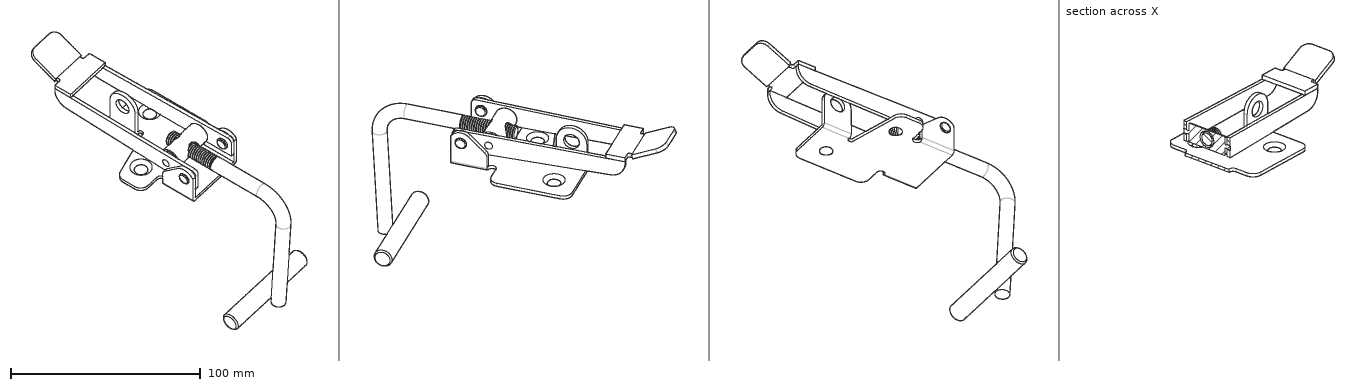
import cadquery as cq
import math

PIVOT_Z = 14.7
TRUNNION_X = -14.5

PLATE_T = 2.0
PLATE_WIDTH = 60.1
PLATE_HALF_Y = PLATE_WIDTH / 2
PLATE_LEFT = -64.5
PLATE_RIGHT = 5.7
LOBE_RIGHT = -19.3
LOBE_R = 5.0
SLANT_TOP_X = -44.7
SLANT_FOOT_X = -36.0
HOLE_R = 3.5
HOLE_RIM_R = 5.9
HOLES = [(-51.5, 17.0), (-30.3, -17.0)]
BEND_R = 1.8

EAR_T = 2.3
EAR_OUT = 18.6
EAR_IN = EAR_OUT - EAR_T
EAR_LEFT = -14.5
EAR_TOP_R = 6.5
EAR_SLOPE = 42.0
EAR_CORNER_R = 3.3
RELIEF_END_Y = 15.0

LOCK_EAR_R = 8.5
LOCK_EAR_OUT = -0.5
LOCK_EAR_Z = 17.7
LOCK_HOLE_R = 4.4
NOTCH_Y = 3.3
NOTCH_R = 1.0

LEVER_T = 2.5
WALL_T = 2.2
WALL_TOP = 20.8
WALL_LEFT = -90.2
WALL_LEFT_Z = 10.9
WALL_RIGHT_Z = 8.4
WALL_FRONT_R = 8.4
WALL_BACK_R = 2.5
LEVER_WIDTH = 29.3
LEVER_HALF_Y = LEVER_WIDTH / 2
BRIDGE_RIGHT = -79.5
NECK_HALF_Y = 9.7
NECK_R = 1.0
BEND_X = -93.3
TAB_HALF_Y = 10.9
TAB_ANGLE = 27.0
TAB_TIP_X = -111.5
TAB_R = 5.0

WALL_SPLAY = math.degrees(math.asin((EAR_IN - LEVER_HALF_Y) / (PLATE_RIGHT - WALL_LEFT)))

RIVET_R = 3.2
RIVET_IN = 12.5
RIVET_OUT = 19.5
RIVET_CHAMFER = 0.5

BARREL_R = 6.0
BARREL_LENGTH = 25.0
BARREL_HALF_Y = BARREL_LENGTH / 2
BARREL_CHAMFER = 0.5
TRUNNION_R = 2.2
BORE_R = 4.5

TRUNNION_END = LEVER_HALF_Y + (TRUNNION_X - WALL_LEFT) * math.sin(math.radians(WALL_SPLAY))

ROD_R = 4.0
ROD_LEFT = -24.3
THREAD_ROOT_R = 3.3
THREAD_PITCH = 1.25
THREAD_TURNS = 24
ROD_BEND_X = 37.0
ROD_BEND_R = 14.9
ROD_BEND_ANGLE = 93.0
LEG_LENGTH = 62.8

THREAD_END = ROD_LEFT + THREAD_PITCH * THREAD_TURNS
LEG_DIR = (math.cos(math.radians(ROD_BEND_ANGLE)), -math.sin(math.radians(ROD_BEND_ANGLE)))

GRIP_R = 5.0
GRIP_LENGTH = 60.1
GRIP_CHAMFER = 0.8
GRIP_FROM_END = 2.5


def along_bend(angle):
    """XZ point of the rod centreline at an angle (degrees) into the bend."""
    turn = math.radians(angle)
    return (ROD_BEND_X + ROD_BEND_R * math.sin(turn), PIVOT_Z - ROD_BEND_R * (1 - math.cos(turn)))


def rod_leg_end():
    """XZ point of the rod centreline at the free end of the leg."""
    x, z = along_bend(ROD_BEND_ANGLE)
    return (x + LEG_LENGTH * LEG_DIR[0], z + LEG_LENGTH * LEG_DIR[1])


def cylinder_y(radius, x, z, y_from, y_to):
    """Solid cylinder parallel to Y."""
    plane = cq.Plane(origin=(x, y_from, z), xDir=(1, 0, 0), normal=(0, 1, 0))
    return cq.Workplane(plane).circle(radius).extrude(y_to - y_from)


def extrude_y(outline, y_from, y_to):
    """Extrude a closed XZ outline between two Y positions."""
    return outline.extrude(y_from - y_to).translate((0, y_from, 0))


def upright_edge(x, y):
    """Selector for the vertical edge nearest to (x, y) in the flat base plate."""
    return cq.selectors.NearestToPointSelector((x, y, PLATE_T / 2))


def base_blank():
    """Flat plate with two offset lobes, before the ears and reliefs."""
    lock_right = PLATE_LEFT + 2 * LOCK_EAR_R
    blank = (
        cq.Workplane("XY")
        .moveTo(PLATE_LEFT, LOCK_EAR_OUT)
        .lineTo(lock_right, LOCK_EAR_OUT)
        .lineTo(lock_right, NOTCH_Y)
        .lineTo(SLANT_TOP_X, NOTCH_Y)
        .lineTo(SLANT_FOOT_X, -PLATE_HALF_Y)
        .lineTo(LOBE_RIGHT, -PLATE_HALF_Y)
        .lineTo(LOBE_RIGHT, -EAR_OUT)
        .lineTo(PLATE_RIGHT, -EAR_OUT)
        .lineTo(PLATE_RIGHT, EAR_OUT)
        .lineTo(LOBE_RIGHT, EAR_OUT)
        .lineTo(LOBE_RIGHT, PLATE_HALF_Y)
        .lineTo(PLATE_LEFT, PLATE_HALF_Y)
        .close()
        .extrude(PLATE_T)
    )
    lobe_corners = [
        (SLANT_FOOT_X, -PLATE_HALF_Y),
        (LOBE_RIGHT, -PLATE_HALF_Y),
        (LOBE_RIGHT, PLATE_HALF_Y),
        (PLATE_LEFT, PLATE_HALF_Y),
    ]
    for x, y in lobe_corners:
        blank = blank.edges("|Z").edges(upright_edge(x, y)).fillet(LOBE_R)
    for x in (lock_right, SLANT_TOP_X):
        blank = blank.edges("|Z").edges(upright_edge(x, NOTCH_Y)).fillet(NOTCH_R)
    return blank


def bend_relief(side):
    """Round-ended slot that frees a pivot ear from the lobe beside it."""
    width = EAR_LEFT - LOBE_RIGHT
    x_mid = (EAR_LEFT + LOBE_RIGHT) / 2
    y_round = RELIEF_END_Y + width / 2
    length = EAR_OUT - y_round
    y_mid = y_round + length / 2
    channel = cq.Workplane("XY").center(x_mid, side * y_mid).rect(width, length).extrude(PLATE_T)
    round_end = cq.Workplane("XY").center(x_mid, side * y_round).circle(width / 2).extrude(PLATE_T)
    return channel.union(round_end)


def pivot_ear(side):
    """Upright ear with a round top about the pivot and one sloping edge."""
    slope = math.radians(EAR_SLOPE)
    tangent = (-EAR_TOP_R * math.sin(slope), PIVOT_Z + EAR_TOP_R * math.cos(slope))
    corner_z = tangent[1] - (tangent[0] - EAR_LEFT) * math.tan(slope)
    back_z = PIVOT_Z + math.sqrt(EAR_TOP_R**2 - PLATE_RIGHT**2)
    outline = (
        cq.Workplane("XZ")
        .moveTo(EAR_LEFT, 0)
        .lineTo(EAR_LEFT, corner_z)
        .lineTo(*tangent)
        .threePointArc((0, PIVOT_Z + EAR_TOP_R), (PLATE_RIGHT, back_z))
        .lineTo(PLATE_RIGHT, 0)
        .close()
    )
    y_low = min(side * EAR_IN, side * EAR_OUT)
    ear = extrude_y(outline, y_low, y_low + EAR_T)
    corner = cq.selectors.NearestToPointSelector((EAR_LEFT, y_low + EAR_T / 2, corner_z))
    return ear.edges("|Y").edges(corner).fillet(EAR_CORNER_R)


def lock_ear():
    """Upright padlock ear with a round top and a hole concentric with it."""
    right = PLATE_LEFT + 2 * LOCK_EAR_R
    mid = PLATE_LEFT + LOCK_EAR_R
    outline = (
        cq.Workplane("XZ")
        .moveTo(PLATE_LEFT, 0)
        .lineTo(PLATE_LEFT, LOCK_EAR_Z)
        .threePointArc((mid, LOCK_EAR_Z + LOCK_EAR_R), (right, LOCK_EAR_Z))
        .lineTo(right, 0)
        .close()
    )
    ear = extrude_y(outline, LOCK_EAR_OUT, LOCK_EAR_OUT + EAR_T)
    return ear.cut(cylinder_y(LOCK_HOLE_R, mid, LOCK_EAR_Z, LOCK_EAR_OUT, LOCK_EAR_OUT + EAR_T))


def countersunk_hole(x, y):
    """Cone that narrows from the upper face of the plate to its lower face."""
    return cq.Workplane("XY").center(x, y).circle(HOLE_R).workplane(offset=PLATE_T).circle(HOLE_RIM_R).loft()


def bend_edge(x, y):
    """Selector for the lower outer edge of a bent-up ear."""
    return cq.selectors.NearestToPointSelector((x, y, 0))


def make_base():
    base = base_blank()
    for side in (-1, 1):
        base = base.cut(bend_relief(side)).union(pivot_ear(side))
    base = base.union(lock_ear())
    ear_mid_x = (EAR_LEFT + PLATE_RIGHT) / 2
    bends = [(ear_mid_x, -EAR_OUT), (ear_mid_x, EAR_OUT), (PLATE_LEFT + LOCK_EAR_R, LOCK_EAR_OUT)]
    for x, y in bends:
        base = base.edges("|X").edges(bend_edge(x, y)).fillet(BEND_R)
    for x, y in HOLES:
        base = base.cut(countersunk_hole(x, y))
    return base.cut(cylinder_y(RIVET_R, 0, PIVOT_Z, -EAR_OUT, EAR_OUT))


def lever_wall():
    """Side wall on +Y, splayed so that it meets the pivot ear at its far end."""
    outline = (
        cq.Workplane("XZ")
        .moveTo(WALL_LEFT, WALL_TOP)
        .lineTo(WALL_LEFT, WALL_LEFT_Z)
        .lineTo(PLATE_RIGHT, WALL_RIGHT_Z)
        .lineTo(PLATE_RIGHT, WALL_TOP)
        .close()
    )
    wall = extrude_y(outline, LEVER_HALF_Y - WALL_T, LEVER_HALF_Y)
    wall_mid_y = LEVER_HALF_Y - WALL_T / 2
    rounded_corners = [
        (WALL_LEFT, WALL_LEFT_Z, WALL_FRONT_R),
        (PLATE_RIGHT, WALL_TOP, WALL_BACK_R),
    ]
    for x, z, radius in rounded_corners:
        corner = cq.selectors.NearestToPointSelector((x, wall_mid_y, z))
        wall = wall.edges("|Y").edges(corner).fillet(radius)
    hinge = (WALL_LEFT, LEVER_HALF_Y)
    return wall.rotate((*hinge, 0), (*hinge, 1), WALL_SPLAY)


def lever_bridge():
    """Flat cross plate that joins the walls, with the narrow neck in front of it."""
    flat = cq.Workplane("XY", origin=(0, 0, WALL_TOP))
    bridge_length = BRIDGE_RIGHT - WALL_LEFT
    neck_length = WALL_LEFT - BEND_X
    bridge = flat.center(WALL_LEFT + bridge_length / 2, 0).rect(bridge_length, LEVER_WIDTH).extrude(LEVER_T)
    neck = flat.center(BEND_X + neck_length / 2, 0).rect(neck_length, 2 * NECK_HALF_Y).extrude(LEVER_T)
    bridge = bridge.union(neck)
    for side in (-1, 1):
        corner = (WALL_LEFT, side * NECK_HALF_Y, WALL_TOP + LEVER_T / 2)
        bridge = bridge.edges("|Z").edges(cq.selectors.NearestToPointSelector(corner)).fillet(NECK_R)
    return bridge


def lever_tab():
    """Thumb tab that rises from the bend line, with rounded outer corners."""
    tilt = math.radians(TAB_ANGLE)
    bottom = (BEND_X, WALL_TOP)
    tip = (TAB_TIP_X, WALL_TOP + (BEND_X - TAB_TIP_X) * math.tan(tilt))
    tip_top = (tip[0] + LEVER_T * math.sin(tilt), tip[1] + LEVER_T * math.cos(tilt))
    bend_top = (BEND_X + LEVER_T * math.tan(tilt / 2), WALL_TOP + LEVER_T)
    outline = cq.Workplane("XZ").polyline([bottom, tip, tip_top, bend_top]).close()
    tab = extrude_y(outline, -TAB_HALF_Y, TAB_HALF_Y)
    tip_mid = ((tip[0] + tip_top[0]) / 2, (tip[1] + tip_top[1]) / 2)
    for side in (-1, 1):
        corner = (tip_mid[0], side * TAB_HALF_Y, tip_mid[1])
        tab = tab.edges(cq.selectors.NearestToPointSelector(corner)).fillet(TAB_R)
    return tab


def make_lever():
    wall = lever_wall()
    lever = lever_bridge().union(lever_tab()).union(wall).union(wall.mirror("XZ"))
    lever = lever.cut(cylinder_y(RIVET_R, 0, PIVOT_Z, -EAR_IN, EAR_IN))
    return lever.cut(cylinder_y(TRUNNION_R, TRUNNION_X, PIVOT_Z, -EAR_IN, EAR_IN))


def make_rivet(side):
    """Short pin through one pivot ear and the lever wall beside it."""
    y_low = min(side * RIVET_IN, side * RIVET_OUT)
    rivet = cylinder_y(RIVET_R, 0, PIVOT_Z, y_low, y_low + RIVET_OUT - RIVET_IN)
    return rivet.faces("<Y or >Y").chamfer(RIVET_CHAMFER)


def make_barrel():
    """Cross barrel with a trunnion on each end and a bore for the rod."""
    barrel = cylinder_y(BARREL_R, TRUNNION_X, PIVOT_Z, -BARREL_HALF_Y, BARREL_HALF_Y)
    barrel = barrel.faces("<Y or >Y").chamfer(BARREL_CHAMFER)
    barrel = barrel.union(cylinder_y(TRUNNION_R, TRUNNION_X, PIVOT_Z, -TRUNNION_END, TRUNNION_END))
    bore_start = cq.Workplane("YZ", origin=(TRUNNION_X - BARREL_R, 0, PIVOT_Z))
    return barrel.cut(bore_start.circle(BORE_R).extrude(2 * BARREL_R))


def threaded_end():
    """Threaded stretch of the rod as a row of V-shaped rings."""
    profile = cq.Workplane("XZ").moveTo(ROD_LEFT, PIVOT_Z).lineTo(ROD_LEFT, PIVOT_Z + THREAD_ROOT_R)
    for turn in range(THREAD_TURNS):
        root_x = ROD_LEFT + turn * THREAD_PITCH
        profile = profile.lineTo(root_x + THREAD_PITCH / 2, PIVOT_Z + ROD_R)
        profile = profile.lineTo(root_x + THREAD_PITCH, PIVOT_Z + THREAD_ROOT_R)
    profile = profile.lineTo(THREAD_END, PIVOT_Z).close()
    return profile.revolve(360, (ROD_LEFT, PIVOT_Z, 0), (THREAD_END, PIVOT_Z, 0))


def make_rod():
    """Bent rod with a threaded end and a plain leg."""
    path = (
        cq.Workplane("XZ")
        .moveTo(THREAD_END, PIVOT_Z)
        .lineTo(ROD_BEND_X, PIVOT_Z)
        .threePointArc(along_bend(ROD_BEND_ANGLE / 2), along_bend(ROD_BEND_ANGLE))
        .lineTo(*rod_leg_end())
    )
    shank = cq.Workplane("YZ", origin=(THREAD_END, 0, PIVOT_Z)).circle(ROD_R).sweep(path)
    return threaded_end().union(shank)


def make_grip():
    """Round bar across the rod leg, tangent to its inner side."""
    spacing = ROD_R + GRIP_R
    end_x, end_z = rod_leg_end()
    x = end_x - GRIP_FROM_END * LEG_DIR[0] + spacing * LEG_DIR[1]
    z = end_z - GRIP_FROM_END * LEG_DIR[1] - spacing * LEG_DIR[0]
    grip = cylinder_y(GRIP_R, x, z, -GRIP_LENGTH / 2, GRIP_LENGTH / 2)
    return grip.faces("<Y or >Y").chamfer(GRIP_CHAMFER)


base = make_base()
lever = make_lever()
rivets = [make_rivet(side) for side in (-1, 1)]
barrel = make_barrel()
rod = make_rod()
grip = make_grip()

result = cq.Compound.makeCompound(
    [base.val(), lever.val(), *[rivet.val() for rivet in rivets], barrel.val(), rod.val(), grip.val()]
)